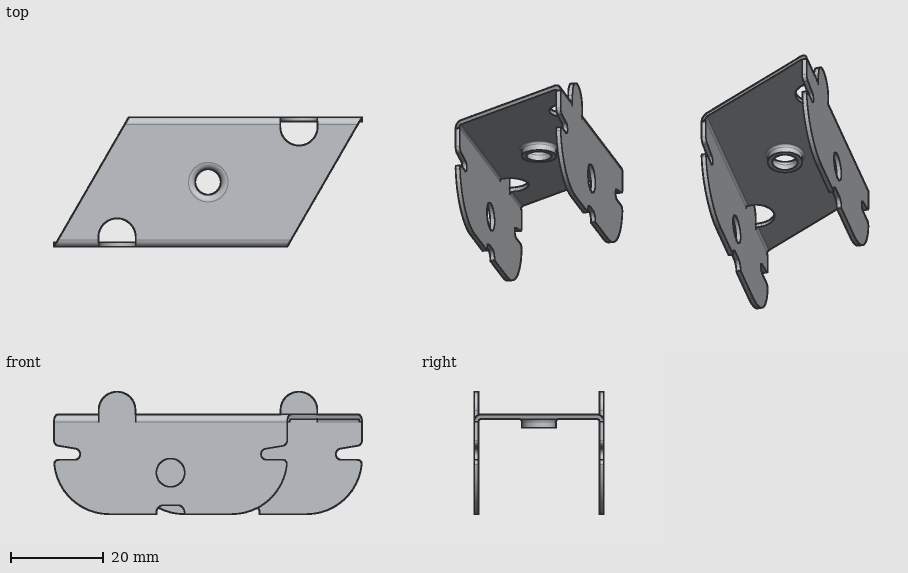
import cadquery as cq
import math

thickness = 1.0
inner_bend = 0.5
outer_bend = inner_bend + thickness
length = 66.5
width = 28.0
plate_top = 21.55
total_height = 26.5

skew_angle = math.radians(30)
skew = width * math.tan(skew_angle)
wall_length = length - skew
wall_middle = wall_length / 2
bend_start = plate_top - outer_bend

wall_corner_radius = 12.0
wall_hole_radius = 3.05
wall_hole_height = 9.0
slot_depth = 5.65
slot_bottom = 11.8
slot_end_radius = 1.2
slot_taper = math.radians(9.5)
slot_upper_rounding = 1.2
slot_lower_rounding = 0.9
foot_notch_width = 6.05
foot_notch_height = 2.0
foot_notch_rounding = 1.6

tab_radius = 4.0
tab_x = 13.6
tab_center_z = total_height - tab_radius
opening_center_y = 2.1

collar_bore_radius = 2.7
collar_radius = collar_bore_radius + thickness
collar_bottom = 18.6


def skewed_plate():
    """Bent plate without its walls, cut along the skewed ends."""
    outline = (
        cq.Workplane("XY")
        .polyline([(0, 0), (wall_length, 0), (length, width), (skew, width)])
        .close()
        .extrude(plate_top)
    )
    channel = (
        cq.Workplane("YZ")
        .moveTo(0, bend_start)
        .radiusArc((outer_bend, plate_top), outer_bend)
        .lineTo(width - outer_bend, plate_top)
        .radiusArc((width, bend_start), outer_bend)
        .lineTo(width - thickness, bend_start)
        .radiusArc((width - outer_bend, plate_top - thickness), -inner_bend)
        .lineTo(outer_bend, plate_top - thickness)
        .radiusArc((thickness, bend_start), -inner_bend)
        .close()
        .extrude(length)
    )
    return outline.intersect(channel)


def end_slot():
    """Tapered slot entering the left end of a wall, with a rounded inner end."""
    center_x = slot_depth - slot_end_radius
    center_z = slot_bottom + slot_end_radius
    tangent_x = center_x + slot_end_radius * math.sin(slot_taper)
    tangent_z = center_z + slot_end_radius * math.cos(slot_taper)
    mouth_top = tangent_z + tangent_x * math.tan(slot_taper)
    return (
        cq.Workplane("XZ")
        .moveTo(0, slot_bottom)
        .lineTo(center_x, slot_bottom)
        .threePointArc((slot_depth, center_z), (tangent_x, tangent_z))
        .lineTo(0, mouth_top)
        .close()
        .extrude(-thickness)
    )


def side_wall():
    """Front wall with end slots, hole and foot notch."""
    wall = (
        cq.Workplane("XY")
        .box(wall_length, thickness, bend_start, centered=False)
        .edges("|Y and <Z")
        .fillet(wall_corner_radius)
    )
    left_slot = end_slot()
    right_slot = left_slot.mirror("YZ").translate((wall_length, 0, 0))
    wall = wall.cut(left_slot).cut(right_slot)

    slot_middle = slot_bottom + slot_end_radius
    for end_x in (0, wall_length):
        for height_range, radius in (
            ((slot_middle, bend_start - thickness), slot_upper_rounding),
            ((slot_bottom - thickness, slot_middle), slot_lower_rounding),
        ):
            selector = cq.selectors.BoxSelector(
                (end_x - thickness, -thickness, height_range[0]),
                (end_x + thickness, 2 * thickness, height_range[1]),
            )
            wall = wall.edges("|Y").edges(selector).fillet(radius)

    hole = (
        cq.Workplane("XZ")
        .center(wall_middle, wall_hole_height)
        .circle(wall_hole_radius)
        .extrude(-thickness)
    )
    foot_notch = (
        cq.Workplane("XY")
        .box(foot_notch_width, thickness, foot_notch_height, centered=(True, False, False))
        .edges("|Y and >Z")
        .fillet(foot_notch_rounding)
        .translate((wall_middle, 0, 0))
    )
    return wall.cut(hole).cut(foot_notch)


def tab():
    """Round-topped tab continuing the front wall above the plate."""
    return (
        cq.Workplane("XZ")
        .moveTo(tab_x - tab_radius, bend_start)
        .lineTo(tab_x - tab_radius, tab_center_z)
        .threePointArc((tab_x, total_height), (tab_x + tab_radius, tab_center_z))
        .lineTo(tab_x + tab_radius, bend_start)
        .close()
        .extrude(-thickness)
    )


def tab_opening():
    """Round-ended opening through the bend and plate behind the front tab."""
    return (
        cq.Workplane("XY")
        .workplane(offset=bend_start)
        .moveTo(tab_x - tab_radius, 0)
        .lineTo(tab_x - tab_radius, opening_center_y)
        .threePointArc(
            (tab_x, opening_center_y + tab_radius),
            (tab_x + tab_radius, opening_center_y),
        )
        .lineTo(tab_x + tab_radius, 0)
        .close()
        .extrude(outer_bend)
    )


def turned_to_back(shape):
    """Half turn about the vertical axis through the plate center."""
    center = (length / 2, width / 2)
    return shape.rotate((*center, 0), (*center, 1), 180)


def collar():
    """Collar with its bore flared into the plate and a matching outer fillet."""
    plate_bottom = plate_top - thickness
    flare_radius = collar_radius + inner_bend
    return (
        cq.Workplane("XZ")
        .moveTo(collar_bore_radius, collar_bottom)
        .lineTo(collar_radius, collar_bottom)
        .lineTo(collar_radius, plate_bottom - inner_bend)
        .radiusArc((flare_radius, plate_bottom), inner_bend)
        .lineTo(flare_radius, plate_top)
        .radiusArc((collar_bore_radius, bend_start), -outer_bend)
        .close()
        .revolve(360, (0, 0), (0, 1))
        .translate((length / 2, width / 2, 0))
    )


opening = tab_opening()
plate = skewed_plate().cut(opening).cut(turned_to_back(opening))
collar_seat = (
    cq.Workplane("XY")
    .center(length / 2, width / 2)
    .circle(collar_radius + inner_bend)
    .extrude(plate_top)
)
plate = plate.cut(collar_seat).union(collar())

wall_with_tab = side_wall().union(tab())
result = plate.union(wall_with_tab).union(turned_to_back(wall_with_tab))